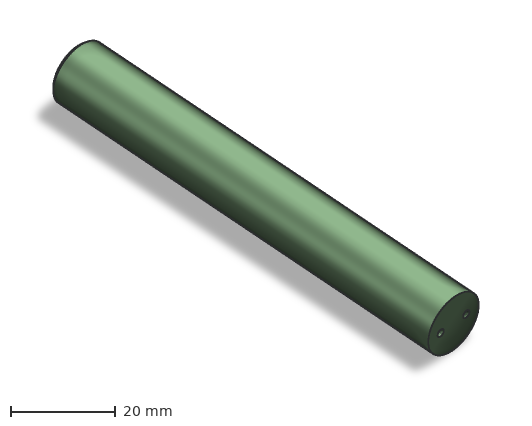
import cadquery as cq
import math

LENGTH = 100.0
DIAMETER = 14.0
CHAMFER = 0.7

CHANNEL_COUNT = 2
CHANNEL_RADIUS = 0.88
CHANNEL_CIRCLE_DIAMETER = 7.1
HELIX_ANGLE = 30.0

channel_circle_radius = CHANNEL_CIRCLE_DIAMETER / 2
helix_pitch = math.pi * DIAMETER / math.tan(math.radians(HELIX_ANGLE))
twist = 360 * LENGTH / helix_pitch


def make_rod():
    """Plain bar from X = 0 to X = LENGTH with its -X rim chamfered."""
    bar = cq.Workplane("YZ").circle(DIAMETER / 2).extrude(LENGTH)
    return bar.faces("<X").chamfer(CHAMFER)


def make_channel(start_angle):
    """Helical channel over the whole length; the angle at the -X end is measured from +Y towards +Z."""
    path = cq.Wire.makeHelix(helix_pitch, LENGTH, channel_circle_radius)
    section = cq.Workplane("XY").center(channel_circle_radius, 0).circle(CHANNEL_RADIUS)
    along_z = section.sweep(cq.Workplane(path), isFrenet=True)
    along_x = along_z.rotate((0, 0, 0), (1, 1, 1), 120)
    return along_x.rotate((0, 0, 0), (1, 0, 0), start_angle)


result = make_rod()
for index in range(CHANNEL_COUNT):
    end_angle = index * 360 / CHANNEL_COUNT
    result = result.cut(make_channel(end_angle - twist))